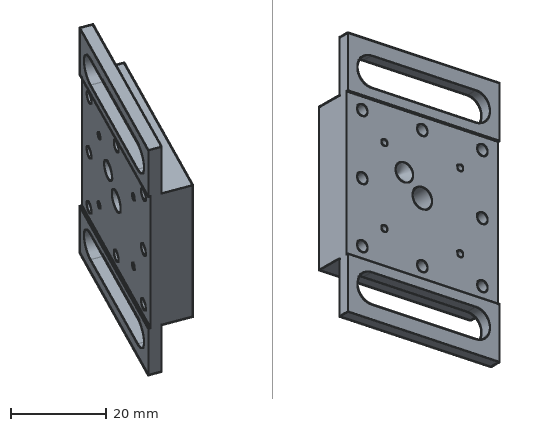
import cadquery as cq

width = 40.05
height = 65.0
depth = 10.0

block_height = 38.0
front_recess = 0.5

flange_thickness = 3.0
slot_length = 35.0
slot_width = 7.5
slot_inner_wall = 2.5
slot_offset = block_height / 2 + slot_inner_wall + slot_width / 2

bore_diameter = 5.15
mount_hole_diameter = 2.7
mount_hole_pitch = 15.85
pin_hole_diameter = 1.55
pin_hole_offset = 10.0

dimple_diameter = 4.6
dimple_depth = dimple_diameter / 2
dimple_x = -4.75
dimple_z = 4.6


def box_between(y_front, y_back, box_height):
    """Full-width box centred on X and Z, spanning two Y positions."""
    box = cq.Workplane("XY").box(width, y_back - y_front, box_height)
    return box.translate((0, (y_front + y_back) / 2, 0))


def front_workplane():
    """Workplane on the front of the flanges, facing -Y, with X right and Z up."""
    return cq.Workplane("XZ")


def through_holes(points, diameter):
    """Cylinders along Y that pass through the whole depth."""
    return front_workplane().pushPoints(points).circle(diameter / 2).extrude(-depth)


def flange_slots():
    """One long obround slot in each flange."""
    centres = [(0, slot_offset), (0, -slot_offset)]
    return front_workplane().pushPoints(centres).slot2D(slot_length, slot_width).extrude(-depth)


def dimple():
    """Cone with its base on the block's front face and its tip toward +Y."""
    base_centre = cq.Vector(dimple_x, front_recess, dimple_z)
    return cq.Solid.makeCone(dimple_diameter / 2, 0, dimple_depth, base_centre, cq.Vector(0, 1, 0))


plate = box_between(0, flange_thickness, height)
block = box_between(front_recess, depth, block_height)
front_relief = box_between(0, front_recess, block_height)
body = plate.union(block).cut(front_relief)

steps = (-mount_hole_pitch, 0, mount_hole_pitch)
mount_points = [(x, z) for x in steps for z in steps if (x, z) != (0, 0)]
pin_steps = (-pin_hole_offset, pin_hole_offset)
pin_points = [(x, z) for x in pin_steps for z in pin_steps]

result = (
    body.cut(flange_slots())
    .cut(through_holes([(0, 0)], bore_diameter))
    .cut(through_holes(mount_points, mount_hole_diameter))
    .cut(through_holes(pin_points, pin_hole_diameter))
    .cut(dimple())
)